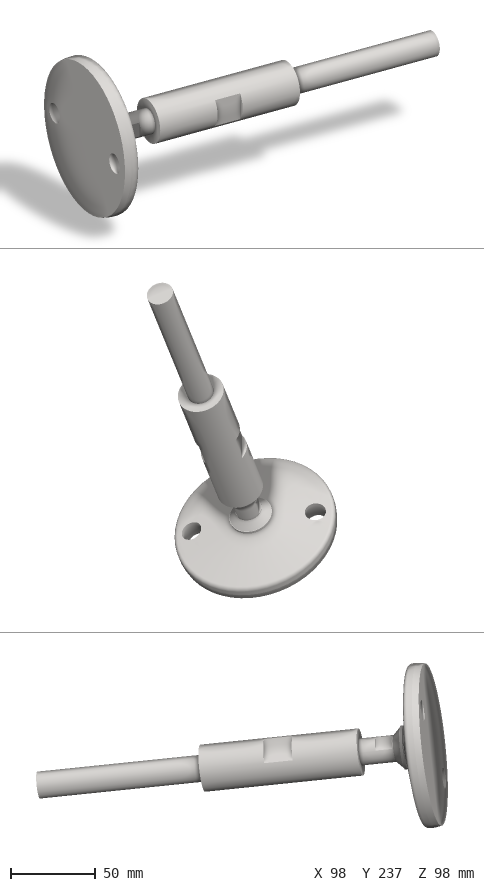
import cadquery as cq
import math

total_length = 237.0

plate_diameter = 98.0
lower_rim_height = 4.0
rim_draft = 10.0
rim_fillet = 2.4
cone_angle = 10.0
cone_top_height = 16.3
mount_hole_diameter = 12.5
mount_hole_offset = 35.75

neck_diameter = 18.0
neck_length = 0.2
collar_diameter = 26.0
collar_thickness = 1.7
shoulder_angle = 45.0
shoulder_diameter = 25.4
rod_diameter = 16.0
wrench_flat_gap = 0.6
wrench_flat_length = 10.0
wrench_flat_width = 13.0

sleeve_diameter = 28.0
sleeve_length = 95.0
sleeve_flat_length = 17.0
sleeve_flat_width = 22.0
free_rod_length = 98.5

collar_start = cone_top_height + neck_length
collar_end = collar_start + collar_thickness
shoulder_height = (shoulder_diameter - rod_diameter) / 2 / math.tan(math.radians(shoulder_angle))
shoulder_end = collar_end + shoulder_height
wrench_flat_start = shoulder_end + wrench_flat_gap
sleeve_start = total_length - free_rod_length - sleeve_length
sleeve_flat_start = sleeve_start + (sleeve_length - sleeve_flat_length) / 2


def cut_flats(body, start, length, width, diameter):
    """Cut two parallel flats, facing -X and +X, into a round section."""
    depth = (diameter - width) / 2
    for side in (-1, 1):
        block = cq.Workplane("XY").box(depth, length, diameter)
        block = block.translate((side * (width + depth) / 2, start + length / 2, 0))
        body = body.cut(block)
    return body


def turn_foot():
    """Revolve the plate, neck, collar, shoulder and rod about Y."""
    slope = math.radians(cone_angle)
    plate_radius = plate_diameter / 2
    bottom_radius = plate_radius - lower_rim_height * math.tan(math.radians(rim_draft))
    neck_radius = neck_diameter / 2
    collar_radius = collar_diameter / 2
    rod_radius = rod_diameter / 2

    turn = math.pi / 2 - slope
    corner_height = cone_top_height - (plate_radius - neck_radius) * math.tan(slope)
    fillet_x = plate_radius - rim_fillet
    fillet_y = corner_height - rim_fillet * math.tan(turn / 2)

    def fillet_point(angle):
        return (fillet_x + rim_fillet * math.cos(angle), fillet_y + rim_fillet * math.sin(angle))

    profile = (
        cq.Workplane("XY")
        .lineTo(bottom_radius, 0)
        .lineTo(plate_radius, lower_rim_height)
        .lineTo(*fillet_point(0))
        .threePointArc(fillet_point(turn / 2), fillet_point(turn))
        .lineTo(neck_radius, cone_top_height)
        .lineTo(neck_radius, collar_start)
        .lineTo(collar_radius, collar_start)
        .lineTo(collar_radius, collar_end)
        .lineTo(shoulder_diameter / 2, collar_end)
        .lineTo(rod_radius, shoulder_end)
        .lineTo(rod_radius, total_length)
        .lineTo(0, total_length)
        .close()
    )
    return profile.revolve(360, (0, 0, 0), (0, 1, 0))


def drill_mount_holes(foot):
    """Drill the two holes through the plate, square to its sloping upper face."""
    slope = math.radians(cone_angle)
    reach = collar_start
    for side in (-1, 1):
        axis = cq.Vector(side * math.sin(slope), math.cos(slope), 0)
        start = cq.Vector(side * mount_hole_offset, 0, 0) - axis * reach
        drill = cq.Solid.makeCylinder(mount_hole_diameter / 2, 2 * reach, start, axis)
        foot = foot.cut(cq.Workplane(drill))
    return foot


def make_foot():
    foot = drill_mount_holes(turn_foot())
    return cut_flats(foot, wrench_flat_start, wrench_flat_length, wrench_flat_width, rod_diameter)


def make_sleeve():
    """Tube that fits closely around the rod, with two wrench flats at mid-length."""
    tube = (
        cq.Workplane("XZ", origin=(0, sleeve_start, 0))
        .circle(sleeve_diameter / 2)
        .circle(rod_diameter / 2)
        .extrude(-sleeve_length)
    )
    return cut_flats(tube, sleeve_flat_start, sleeve_flat_length, sleeve_flat_width, sleeve_diameter)


foot = make_foot()
sleeve = make_sleeve()

result = cq.Compound.makeCompound([foot.val(), sleeve.val()])